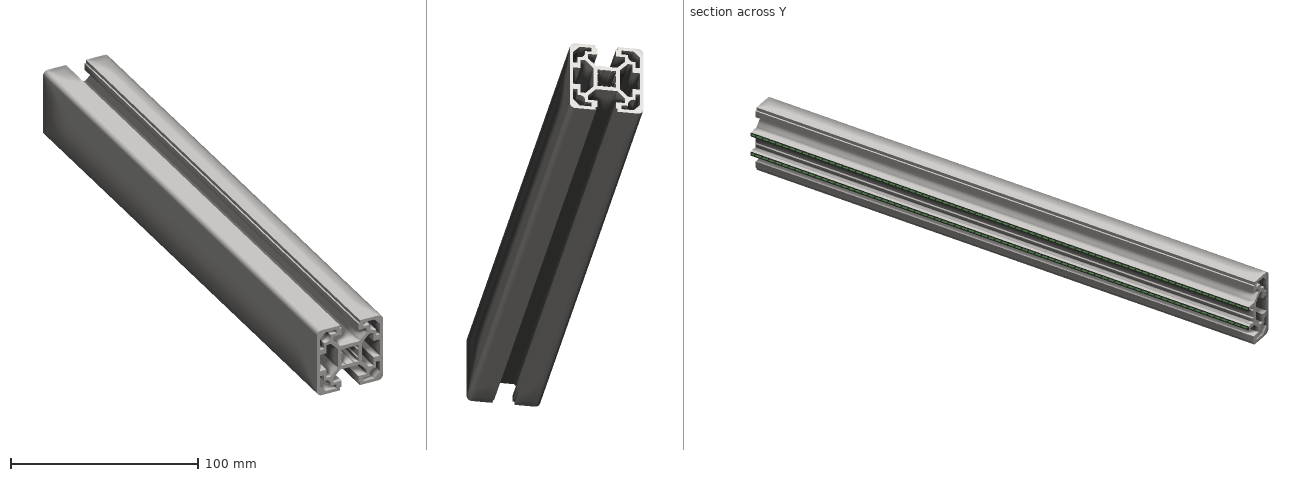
import cadquery as cq
import math

length = 315.0
width = 40.0
half_width = width / 2
corner_radius = 3.0
skin = 2.0

slot_half_width = 5.0
mouth_half_width = 6.0
lip_bottom = 14.2
undercut_half_width = 10.0
core_half_width = 7.2
web_thickness = 2.05

chamber_start = 8.2
chamber_inner = 15.8
chamber_step = 11.5
chamber_chamfer = 3.5
chamber_step_radius = 3.0

bore_half_width = 5.0
rib_offset = 2.5
rib_height = 0.5
rib_base = 1.0

corner_sagitta = 1 - math.sin(math.pi / 4)
inner_face = half_width - skin
web_offset = web_thickness / 2 * math.sqrt(2)
quarter_turns = (0, 90, 180, 270)
half_turns = (0, 180)


def bar(points):
    """Extrude a closed (Y, Z) outline over the full length."""
    return cq.Workplane("YZ").polyline(points).close().extrude(length)


def turned(body, angle):
    """Turn a body about the long axis."""
    return body.rotate((0, 0, 0), (1, 0, 0), angle)


def slot_cutter():
    """T-slot on the +Z side, reaching up to the inner face of the outer wall."""
    right_side = [
        (slot_half_width, inner_face),
        (slot_half_width, lip_bottom),
        (undercut_half_width, lip_bottom),
        (undercut_half_width, undercut_half_width + web_offset),
        (core_half_width - web_offset, core_half_width),
    ]
    left_side = [(-y, z) for y, z in reversed(right_side)]
    return bar(right_side + left_side)


def mouth_cutter():
    """Opening through the outer wall above a slot on the +Z side."""
    return bar([
        (-mouth_half_width, inner_face),
        (mouth_half_width, inner_face),
        (mouth_half_width, half_width),
        (-mouth_half_width, half_width),
    ])


def chamber_cutter():
    """L-shaped hollow in the +Y +Z corner, symmetric about the diagonal."""
    top_arm = [
        (inner_face - chamber_chamfer, inner_face),
        (chamber_start, inner_face),
        (chamber_start, chamber_inner),
        (chamber_step, chamber_inner),
        (chamber_step, chamber_step + chamber_step_radius),
    ]
    side_arm = [(z, y) for y, z in reversed(top_arm)]
    round_middle = chamber_step + chamber_step_radius * corner_sagitta
    return (
        cq.Workplane("YZ")
        .polyline(top_arm)
        .threePointArc((round_middle, round_middle), side_arm[0])
        .polyline(side_arm, includeCurrent=False)
        .close()
        .extrude(length)
    )


def bore_rib(offset):
    """Triangular rib on the +Z wall of the bore."""
    return bar([
        (offset - rib_base / 2, bore_half_width),
        (offset, bore_half_width - rib_height),
        (offset + rib_base / 2, bore_half_width),
    ])


result = cq.Workplane("YZ").rect(width, width).extrude(length).edges("|X").fillet(corner_radius)

for angle in quarter_turns:
    result = result.cut(turned(slot_cutter(), angle))
    result = result.cut(turned(chamber_cutter(), angle))

for angle in half_turns:
    result = result.cut(turned(mouth_cutter(), angle))

bore = cq.Workplane("YZ").rect(2 * bore_half_width, 2 * bore_half_width).extrude(length)
for angle in quarter_turns:
    for offset in (-rib_offset, rib_offset):
        bore = bore.cut(turned(bore_rib(offset), angle))
result = result.cut(bore).translate((-length / 2, 0, 0))